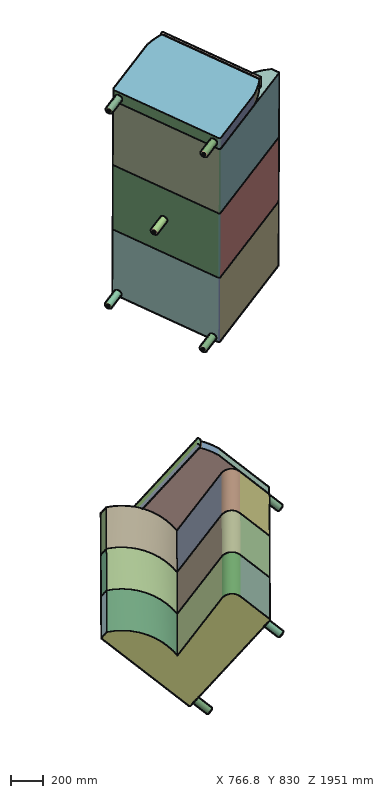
import cadquery as cq
import math


overall_length = 1951
overall_depth = 830.0
lean_angle = 0.17
width = 761
lean = math.radians(lean_angle)
length = (overall_length - width * math.sin(lean)) / math.cos(lean)
half_width = width / 2
top_end = length / 2
bottom_end = -length / 2

arm_thickness = 103.0
arm_height = 530.0
arm_straight_height = 410
arm_side_radius = 488
arm_side_axis_height = 332
arm_corner_radius = 21.0
arm_base_fillet = 14.0

pad_thickness = 23.0
pad_length = 699.0
pad_front_inset = 25.0
pad_side_inset = 5.0
pad_fillet = 4.0

module_count = 3
module_length = (length - arm_thickness) / module_count
seat_front_height = 320.0
seat_rear_height = 280.0
seat_nose_radius = 80.0
back_height = 708.0
back_top_depth = 55.0
back_radius = 423.0
back_axis_height = 370
module_base_fillet = 8.0

leg_diameter = 50.0
leg_length = overall_depth - back_height
leg_end_fillet = 4.0
leg_side_inset = 45.0
leg_top_inset = 53.0
leg_bottom_inset = 33.0
middle_leg_x = -14.0
middle_leg_top_inset = 1010.0
recess_diameter = 19.1
recess_depth = 5.0
bore_diameter = 8.0
bore_depth = 20

arm_bottom = top_end - arm_thickness


def lean_over(body):
    """Tilt a body about Y through the origin, its top end towards +X."""
    return body.rotate((0, 0, 0), (0, 1, 0), lean_angle)


def back_face_x(height):
    """X of the backrest's hollow front face at a height above the base plane."""
    def axis_reach(y):
        return math.sqrt(back_radius**2 - (y - back_axis_height) ** 2)

    return half_width - back_top_depth - axis_reach(height) + axis_reach(back_height)


def make_module(bottom):
    """One seat sloping down to its hollow backrest, as a constant section from Z = bottom upwards."""
    nose_mid = seat_nose_radius * (1 - math.sqrt(0.5))
    mid_height = (seat_rear_height + back_height) / 2
    section = (
        cq.Workplane("XY", origin=(0, 0, bottom))
        .moveTo(-half_width, 0)
        .lineTo(-half_width, seat_front_height - seat_nose_radius)
        .threePointArc(
            (-half_width + nose_mid, seat_front_height - nose_mid),
            (-half_width + seat_nose_radius, seat_front_height),
        )
        .lineTo(back_face_x(seat_rear_height), seat_rear_height)
        .threePointArc(
            (back_face_x(mid_height), mid_height),
            (half_width - back_top_depth, back_height),
        )
        .lineTo(half_width, back_height)
        .lineTo(half_width, 0)
        .close()
    )
    module = section.extrude(module_length)
    return module.faces("<Y").edges("|Z").fillet(module_base_fillet)


def make_arm():
    """Armrest slab across the top end, its sides curving inwards to a rounded top."""
    def axis_reach(height):
        return math.sqrt(arm_side_radius**2 - (height - arm_side_axis_height) ** 2)

    def side_inset(height):
        return axis_reach(arm_straight_height) - axis_reach(height)

    mid_height = (arm_straight_height + arm_height) / 2
    mid_x = half_width - side_inset(mid_height)
    top_x = half_width - side_inset(arm_height)
    arm = (
        cq.Workplane("XY", origin=(0, 0, arm_bottom))
        .moveTo(-half_width, 0)
        .lineTo(-half_width, arm_straight_height)
        .threePointArc((-mid_x, mid_height), (-top_x, arm_height))
        .lineTo(top_x, arm_height)
        .threePointArc((mid_x, mid_height), (half_width, arm_straight_height))
        .lineTo(half_width, 0)
        .close()
        .extrude(arm_thickness)
    )
    arm = arm.faces(">Y").edges("|Z").fillet(arm_corner_radius)
    return arm.faces("<Y").edges("|Z").fillet(arm_base_fillet)


def make_pad():
    """Thin pad lying on top of the armrest."""
    pad = cq.Workplane("XY").box(
        pad_length,
        pad_thickness,
        arm_thickness - 2 * pad_side_inset,
        centered=False,
    )
    pad = pad.faces(">Y").edges().fillet(pad_fillet)
    return pad.translate((pad_front_inset - half_width, arm_height, arm_bottom + pad_side_inset))


def make_leg(x, z):
    """Round leg under the base plane, with a stepped blind hole in its rounded end."""
    leg = (
        cq.Workplane("XZ", origin=(x, 0, z))
        .circle(leg_diameter / 2)
        .extrude(leg_length)
        .faces("<Y")
        .edges()
        .fillet(leg_end_fillet)
    )
    return leg.faces("<Y").workplane(centerOption="CenterOfBoundBox").cboreHole(
        bore_diameter, recess_diameter, recess_depth, bore_depth
    )


modules = [make_module(bottom_end + i * module_length) for i in range(module_count)]
arm = make_arm()
pad = make_pad()

leg_x = half_width - leg_side_inset
leg_places = [
    (x, z)
    for x in (-leg_x, leg_x)
    for z in (bottom_end + leg_bottom_inset, top_end - leg_top_inset)
]
leg_places.append((middle_leg_x, top_end - middle_leg_top_inset))
legs = [make_leg(x, z) for x, z in leg_places]

bodies = [*modules, arm, pad, *legs]
result = cq.Compound.makeCompound([lean_over(body).val() for body in bodies])